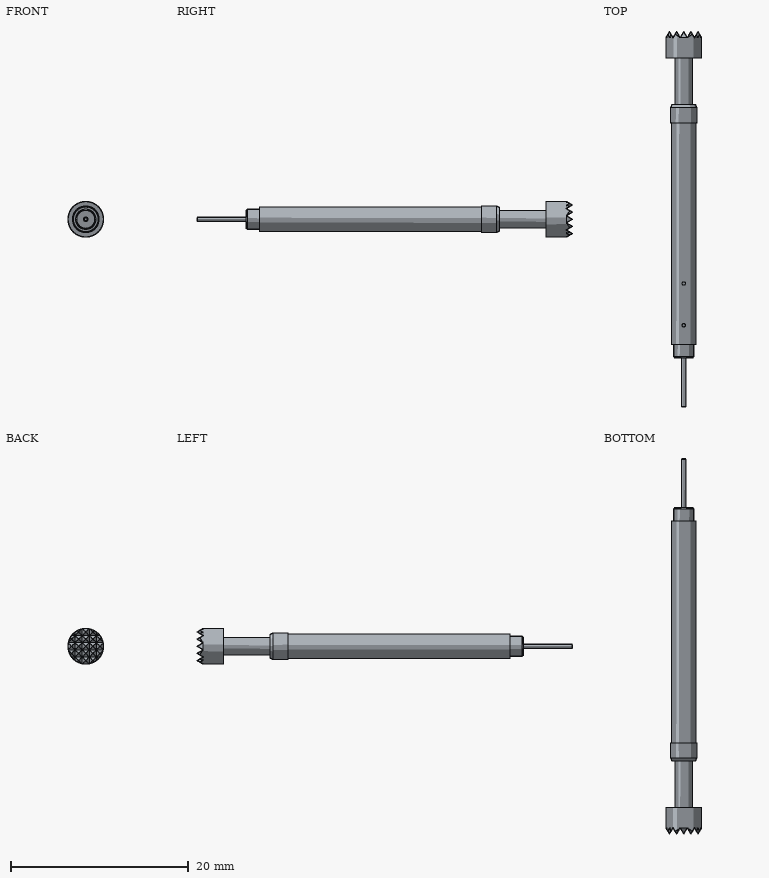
import cadquery as cq
import math

total_length = 42.3

head_diameter = 4.0
head_length = 3.0
plunger_diameter = 2.0
plunger_length = 5.2
collar_diameter = 3.0
collar_length = 2.07
collar_taper_length = 0.4
collar_taper_depth = 0.15
barrel_diameter = 2.8
barrel_length = 25.0
sleeve_diameter = 2.3
sleeve_length = 1.5
sleeve_chamfer = 0.13
pin_diameter = 0.5
pin_chamfer = 0.1

teeth_across = 5
tooth_pitch = head_diameter / teeth_across
tooth_angle = 60.0
tooth_height = tooth_pitch / 2 / math.tan(math.radians(tooth_angle / 2))

dimple_diameter = 0.4
dimple_depth = 0.13
dimple_distances = (2.2, 6.9)

head_back = total_length - head_length
collar_front = head_back - plunger_length
barrel_front = collar_front - collar_length
barrel_back = barrel_front - barrel_length
sleeve_back = barrel_back - sleeve_length


def turned_body():
    """All round sections as one half profile revolved about Y."""
    head_radius = head_diameter / 2
    plunger_radius = plunger_diameter / 2
    collar_radius = collar_diameter / 2
    barrel_radius = barrel_diameter / 2
    sleeve_radius = sleeve_diameter / 2
    pin_radius = pin_diameter / 2
    profile = [
        (0, 0),
        (pin_radius - pin_chamfer, 0),
        (pin_radius, pin_chamfer),
        (pin_radius, sleeve_back),
        (sleeve_radius - sleeve_chamfer, sleeve_back),
        (sleeve_radius, sleeve_back + sleeve_chamfer),
        (sleeve_radius, barrel_back),
        (barrel_radius, barrel_back),
        (barrel_radius, barrel_front),
        (collar_radius, barrel_front),
        (collar_radius, collar_front - collar_taper_length),
        (collar_radius - collar_taper_depth, collar_front),
        (plunger_radius, collar_front),
        (plunger_radius, head_back),
        (head_radius, head_back),
        (head_radius, total_length),
        (0, total_length),
    ]
    return cq.Workplane("ZY").polyline(profile).close().revolve(360, (0, 0, 0), (0, 1, 0))


def tooth_grooves():
    """Parallel V grooves, running along Z, that meet in sharp ridges at the head face."""
    groove_bottom = total_length - tooth_height
    left_ridge = -(teeth_across + 1) / 2 * tooth_pitch
    outline = [(left_ridge, total_length)]
    for groove in range(teeth_across + 1):
        ridge = left_ridge + groove * tooth_pitch
        outline.append((ridge + tooth_pitch / 2, groove_bottom))
        outline.append((ridge + tooth_pitch, total_length))
    outline.append((-left_ridge, total_length + tooth_height))
    outline.append((left_ridge, total_length + tooth_height))
    return cq.Workplane("XY").polyline(outline).close().extrude(head_diameter, both=True)


def barrel_dimples():
    """Shallow round dimples in a row along the top of the barrel."""
    centres = [(0, barrel_back + distance) for distance in dimple_distances]
    return (
        cq.Workplane("XY", origin=(0, 0, barrel_diameter / 2 - dimple_depth))
        .pushPoints(centres)
        .circle(dimple_diameter / 2)
        .extrude(2 * dimple_depth)
    )


grooves = tooth_grooves()
crossing_grooves = grooves.rotate((0, 0, 0), (0, 1, 0), 90)

result = turned_body().cut(grooves).cut(crossing_grooves).cut(barrel_dimples())